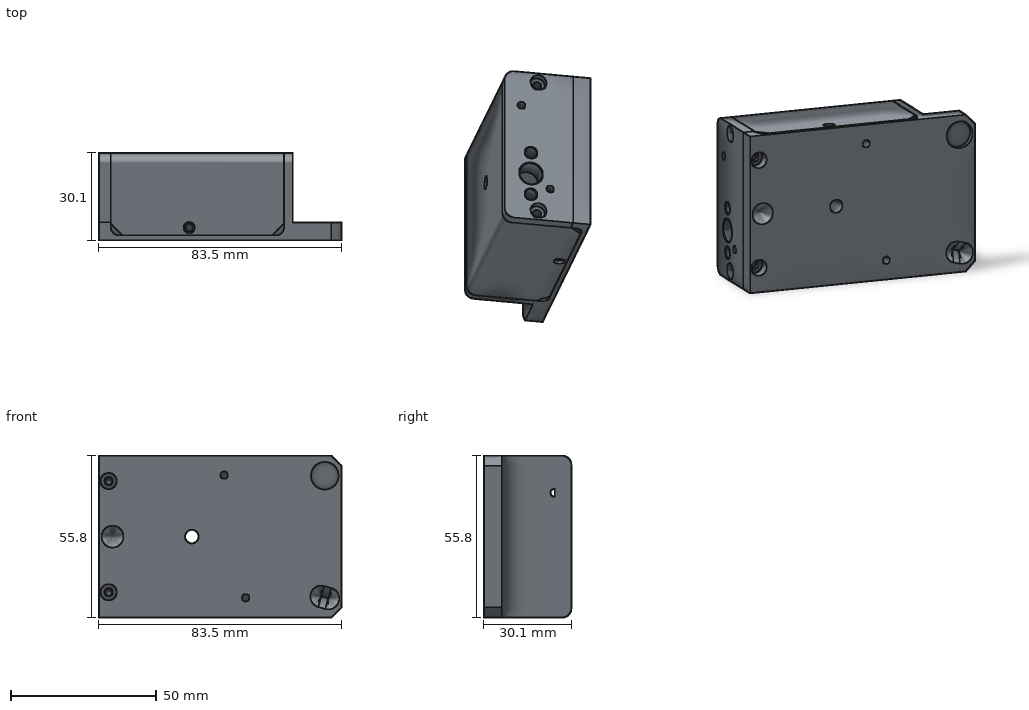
import cadquery as cq
import math

LENGTH = 83.45
DEPTH = 30.1
HEIGHT = 55.75
MID_Z = HEIGHT / 2

PLATE_THICKNESS = 6.2
PLATE_CHAMFER = 3.5
BLOCK_END = 66.7
BACK_RADIUS = 3.25

FLANGE_END = 4.1
TONGUE_END = 7.5

COVER_END = 63.6
COVER_FRONT = 1.8
COVER_THICKNESS = 1.0
COVER_CHAMFER = 3.9
COVER_GAP = 0.125
SEAT_RADIUS = 2.9

COVER_SCREW_X = 31.05
COVER_SCREW_Y = 4.4
COVER_SCREW_HEAD = 3.8
COVER_SCREW_THREAD = 2.6
COVER_SCREW_DEPTH = 6.0

SCREW_HEAD = 5.6
SCREW_CLEARANCE = 2.9
SCREW_THREAD = 2.4
SCREW_TIP_ANGLE = 118
FRONT_SCREW_X = 3.3
FRONT_SCREW_OFFSET = 19.1
FRONT_HEAD_DEPTH = 4.2
FRONT_THREAD_DEPTH = 10.0
END_SCREW_Y = 18.3
END_SCREW_OFFSET = 24.4
END_HEAD_DEPTH = 2.7
END_THREAD_DEPTH = 13.35

CONE_X = 4.7
CONE_RADIUS = 3.75
GROOVE_X = 77.7
SEAT_OFFSET = 20.95
GROOVE_STRAIGHT = 2.5
DISC_DIAMETER = 9.5
DISC_DEPTH = 2.0

THROUGH_HOLE_X = 32.0
THROUGH_HOLE_DIAMETER = 4.6
PIN_HOLE_DIAMETER = 2.6
PIN_HOLE_DEPTH = 5.0
FRONT_PIN_HOLES = [(43.1, 49.0), (50.5, 6.85)]

PORT_Y = 20.95
PORT_Z = 17.35
PORT_DIAMETER = 7.9
PORT_CHAMFER = 0.25
PORT_SCREW_OFFSET = 7.9
PORT_SCREW_DIAMETER = 4.0
END_PIN_Y = 14.2
END_PIN_Z = 12.1
BORE_Y = 24.3
BORE_Z = 43.0
BORE_DIAMETER = 2.7


def block(x_range, y_range, z_range):
    """Box between two limits along each axis."""
    corner = (x_range[0], y_range[0], z_range[0])
    sizes = [high - low for low, high in (x_range, y_range, z_range)]
    return cq.Workplane("XY").box(*sizes, centered=False).translate(corner)


def rounded_block(x_range, front):
    """Full-height block from y = front to the back, with its two long back edges rounded."""
    body = block(x_range, (front, DEPTH), (0, HEIGHT))
    return body.edges("|X and >Y").fillet(BACK_RADIUS)


def bore_y(x, z, diameter, depth, start=0.0):
    """Cylinder that runs back from y = start."""
    cylinder = cq.Solid.makeCylinder(diameter / 2, depth, cq.Vector(x, start, z), cq.Vector(0, 1, 0))
    return cq.Workplane(cylinder)


def bore_x(y, z, diameter, depth):
    """Cylinder that runs into the part from the left face."""
    cylinder = cq.Solid.makeCylinder(diameter / 2, depth, cq.Vector(0, y, z), cq.Vector(1, 0, 0))
    return cq.Workplane(cylinder)


def cone_y(x, z, radius, length, start=0.0):
    """Pointed cone that narrows toward the back from y = start."""
    cone = cq.Solid.makeCone(radius, 0, length, cq.Vector(x, start, z), cq.Vector(0, 1, 0))
    return cq.Workplane(cone)


def front_screw_hole(z):
    """Counterbore and clearance hole in the plate, then a thread with a pointed end."""
    tip_length = SCREW_THREAD / 2 / math.tan(math.radians(SCREW_TIP_ANGLE / 2))
    head = bore_y(FRONT_SCREW_X, z, SCREW_HEAD, FRONT_HEAD_DEPTH)
    clearance = bore_y(FRONT_SCREW_X, z, SCREW_CLEARANCE, PLATE_THICKNESS)
    thread = bore_y(FRONT_SCREW_X, z, SCREW_THREAD, FRONT_THREAD_DEPTH)
    tip = cone_y(FRONT_SCREW_X, z, SCREW_THREAD / 2, tip_length, FRONT_THREAD_DEPTH)
    return head.union(clearance).union(thread).union(tip)


def end_screw_hole(z):
    """Counterbore and clearance hole in the end plate, then a thread in the block."""
    head = bore_x(END_SCREW_Y, z, SCREW_HEAD, END_HEAD_DEPTH)
    clearance = bore_x(END_SCREW_Y, z, SCREW_CLEARANCE, TONGUE_END)
    thread = bore_x(END_SCREW_Y, z, SCREW_THREAD, END_THREAD_DEPTH)
    return head.union(clearance).union(thread)


def cover_screw_hole(diameter, side, depth):
    """Hole along Z in the top (side 1) or bottom (side -1) face."""
    start = cq.Vector(COVER_SCREW_X, COVER_SCREW_Y, MID_Z + side * MID_Z)
    return cq.Workplane(cq.Solid.makeCylinder(diameter / 2, depth, start, cq.Vector(0, 0, -side)))


def chamfered_port(z, diameter):
    """Round port through the end plate, with a small chamfer at its mouth."""
    mouth = cq.Solid.makeCone(
        diameter / 2 + PORT_CHAMFER, diameter / 2, PORT_CHAMFER, cq.Vector(0, PORT_Y, z), cq.Vector(1, 0, 0)
    )
    return bore_x(PORT_Y, z, diameter, TONGUE_END).union(cq.Workplane(mouth))


def v_groove():
    """Groove with a V section and conical ends, lined up with the cone seat."""
    z = MID_Z - SEAT_OFFSET
    tilt = math.degrees(math.atan2(SEAT_OFFSET, GROOVE_X - CONE_X))
    half = GROOVE_STRAIGHT / 2
    section = [(-CONE_RADIUS, 0), (CONE_RADIUS, 0), (0, CONE_RADIUS)]
    groove = cq.Workplane("ZY").polyline(section).close().extrude(half, both=True)
    for end in (-half, half):
        groove = groove.union(cone_y(end, 0, CONE_RADIUS, CONE_RADIUS))
    return groove.rotate((0, 0, 0), (0, 1, 0), tilt).translate((GROOVE_X, 0, z))


def covered_core(front, end):
    """Solid that fills the inside of the cover up to x = end, rounded to keep the sheet thickness even."""
    y_range = (front, DEPTH - COVER_THICKNESS)
    core = block((FLANGE_END, end), y_range, (COVER_THICKNESS, HEIGHT - COVER_THICKNESS))
    return core.edges("|X and >Y").fillet(BACK_RADIUS - COVER_THICKNESS)


def tongue():
    """Part of the end plate that reaches in under the cover."""
    return covered_core(PLATE_THICKNESS, TONGUE_END)


def half_bore():
    """Half-round passage along the block, in line with the bore in the end plate."""
    front_half = block((0, LENGTH), (0, BORE_Y), (0, HEIGHT))
    return bore_x(BORE_Y, BORE_Z, BORE_DIAMETER, LENGTH).intersect(front_half)


def cut_all(body, tools):
    """Body with each of the tools cut from it."""
    for tool in tools:
        body = body.cut(tool)
    return body


front_screw_holes = [front_screw_hole(MID_Z + side * FRONT_SCREW_OFFSET) for side in (-1, 1)]
end_screw_holes = [end_screw_hole(MID_Z + side * END_SCREW_OFFSET) for side in (-1, 1)]
ports = [chamfered_port(PORT_Z, PORT_DIAMETER)]
ports += [chamfered_port(PORT_Z + side * PORT_SCREW_OFFSET, PORT_SCREW_DIAMETER) for side in (-1, 1)]
through_hole = bore_y(THROUGH_HOLE_X, MID_Z, THROUGH_HOLE_DIAMETER, DEPTH)


def make_housing():
    plate = block((0, LENGTH), (0, PLATE_THICKNESS), (0, HEIGHT)).edges("|Y and >X").chamfer(PLATE_CHAMFER)
    body = plate.union(rounded_block((FLANGE_END, BLOCK_END), PLATE_THICKNESS))

    body = body.cut(tongue())
    seat_front = COVER_FRONT - COVER_GAP
    seat_end = COVER_END + COVER_GAP
    seat = block((FLANGE_END, seat_end), (seat_front, DEPTH), (0, HEIGHT))
    seat = seat.edges("|Z and <Y").fillet(SEAT_RADIUS)
    body = body.cut(seat.cut(covered_core(seat_front, seat_end)))

    body = cut_all(body, front_screw_holes + end_screw_holes + [through_hole, half_bore()])
    for side in (-1, 1):
        body = body.cut(cover_screw_hole(COVER_SCREW_THREAD, side, COVER_SCREW_DEPTH))

    body = body.cut(cone_y(CONE_X, MID_Z, CONE_RADIUS, CONE_RADIUS)).cut(v_groove())
    body = body.cut(bore_y(GROOVE_X, MID_Z + SEAT_OFFSET, DISC_DIAMETER, DISC_DEPTH))
    for x, z in FRONT_PIN_HOLES:
        body = body.cut(bore_y(x, z, PIN_HOLE_DIAMETER, PIN_HOLE_DEPTH))
    return body


def make_end_plate():
    body = rounded_block((0, FLANGE_END), PLATE_THICKNESS).union(tongue())
    bore = bore_x(BORE_Y, BORE_Z, BORE_DIAMETER, TONGUE_END)
    pin_hole = bore_x(END_PIN_Y, END_PIN_Z, PIN_HOLE_DIAMETER, FLANGE_END)
    return cut_all(body, front_screw_holes + end_screw_holes + ports + [bore, pin_hole])


def make_cover():
    body = block((FLANGE_END, COVER_END), (COVER_FRONT, DEPTH), (0, HEIGHT))
    body = body.edges("|X and >Y").fillet(BACK_RADIUS)
    body = body.edges("|Z and <Y").chamfer(COVER_CHAMFER)
    body = body.cut(covered_core(COVER_FRONT, COVER_END)).cut(through_hole)
    for side in (-1, 1):
        body = body.cut(cover_screw_hole(COVER_SCREW_HEAD, side, COVER_THICKNESS))
    return body


housing = make_housing()
end_plate = make_end_plate()
cover = make_cover()

result = cq.Compound.makeCompound([housing.solids().val(), end_plate.solids().val(), cover.solids().val()])